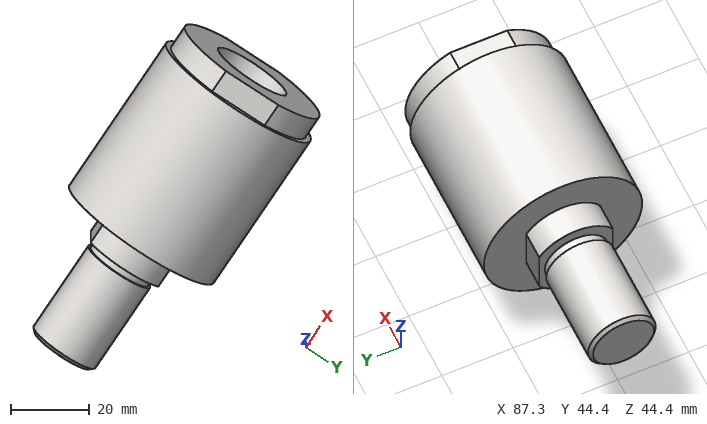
import cadquery as cq

total_length = 87.3

stud_diameter = 19.0
stud_length = 26.2
stud_chamfer = 1.0
neck_diameter = 17.6
neck_length = 2.4

collar_diameter = 24.5
collar_length = 7.9
collar_across_flats = 20.7

body_diameter = 44.4

cap_diameter = 41.3
cap_length = 6.4
cap_across_flats = 38.1

socket_diameter = 20.95
socket_depth = 26.2

neck_start = stud_length
collar_start = neck_start + neck_length
body_start = collar_start + collar_length
cap_start = total_length - cap_length
body_length = cap_start - body_start


def cylinder(start, length, diameter):
    """Cylinder on the X axis, beginning at X = start."""
    return cq.Workplane("YZ", origin=(start, 0, 0)).circle(diameter / 2).extrude(length)


def flatted_cylinder(start, length, diameter, y_size, z_size):
    """Cylinder on the X axis, trimmed to a y_size by z_size rectangle."""
    envelope = cq.Workplane("YZ", origin=(start, 0, 0)).rect(y_size, z_size).extrude(length)
    return cylinder(start, length, diameter).intersect(envelope)


stud = cylinder(0, stud_length, stud_diameter).faces("<X").chamfer(stud_chamfer)
neck = cylinder(neck_start, neck_length, neck_diameter)
collar = flatted_cylinder(
    collar_start, collar_length, collar_diameter, collar_across_flats, collar_diameter
)
body = cylinder(body_start, body_length, body_diameter)
cap = flatted_cylinder(cap_start, cap_length, cap_diameter, cap_diameter, cap_across_flats)
socket = cylinder(total_length - socket_depth, socket_depth, socket_diameter)

result = stud.union(neck).union(collar).union(body).union(cap).cut(socket)